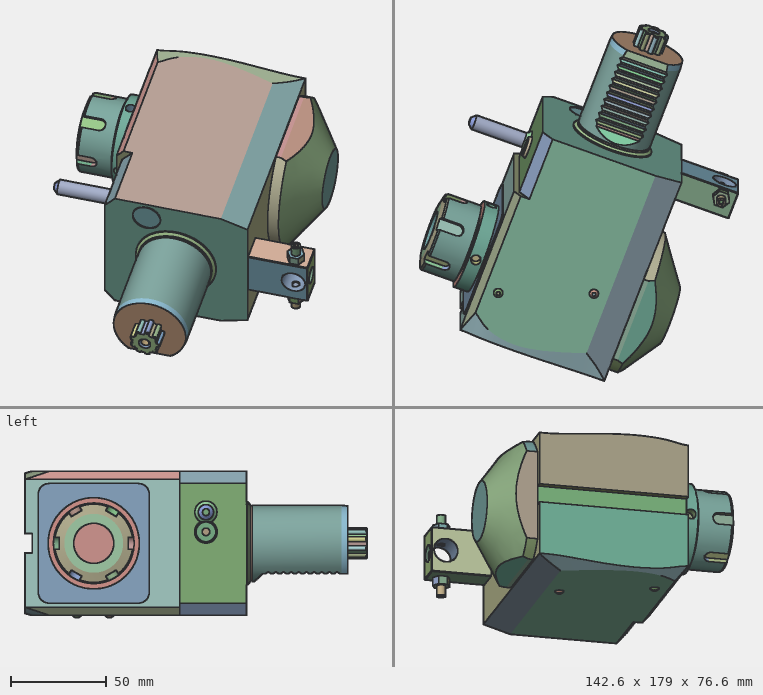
import cadquery as cq


HOUSING_LENGTH = 116.0
HALF_HEIGHT = 37.75
RIGHT_X = 38.7
REAR_LEFT_X = -41.8
FRONT_LEFT_X = -38.8
STEP_Y = 35.0
REAR_CHAMFER = (3.8, 4.3)
FRONT_CHAMFER = (5.6, 6.4)
RIGHT_TAPER = (14.5, 4.2)
CROWN_POINTS = [
    (REAR_LEFT_X, 101.6),
    (-38.0, 103.1),
    (-32.3, 107.4),
    (-25.2, 110.7),
    (-13.0, 112.5),
    (2.3, 110.4),
    (12.5, 107.6),
    (24.2, 103.7),
    (RIGHT_X, 101.8),
]
CROWN_FALL = 0.3
KEYWAY_WIDTH = 10.0
KEYWAY_DEPTH = 3.7
PLUG_X = -16.1
PLUG_Z = 27.9
PLUG_RADIUS = 7.5
PLUG_RECESS = 0.6
NIPPLE_POINTS = [(-30.6, 88.8), (16.5, 71.8)]
NIPPLE_BASE_RADIUS = 2.4
NIPPLE_TIP_RADIUS = 1.0
NIPPLE_HEIGHT = 1.1

SHANK_RADIUS = 20.0
SHANK_END_Y = -53.0
SHANK_TAPER_Y = -49.6
SHANK_END_RADIUS = 19.6
COLLAR_RADIUS = 21.75
COLLAR_STRAIGHT = 0.7
COLLAR_LENGTH = 1.9
UNDERCUT_END_Y = -3.0
UNDERCUT_RADIUS = 19.7
RACK_TIP_Z = -16.0
RACK_DEPTH = 1.0
RACK_PITCH = 4.0
RACK_GROOVES = 10
RACK_FIRST_Y = -11.3
RACK_GROOVE_HALF_WIDTH = 1.5
RACK_RAMP_START_Y = -4.0
RACK_RAMP_END_Y = -8.4
SPLINE_END_Y = -63.0
SPLINE_TEETH = 9
SPLINE_TIP_RADIUS = 8.2
SPLINE_ROOT_RADIUS = 6.6
SPLINE_TOOTH_WIDTH = 2.6
SPLINE_PHASE = 8.0
SPLINE_CHAMFER = 0.7
SPLINE_BORE_RADIUS = 2.2
SPLINE_BORE_DEPTH = 12.0
SPLINE_COUNTERSINK_RADIUS = 3.2

SPINDLE_Y = 80.0
PAD_LENGTH_Y = 58.0
PAD_HEIGHT_Z = 62.6
PAD_CORNER_RADIUS = 5.5
PAD_FACE_X = -42.5
FLANGE_RADIUS = 23.9
FLANGE_FACE_X = -50.2
NECK_RADIUS = 16.5
NUT_RADIUS = 21.1
NUT_BACK_X = -51.3
NUT_CHAMFER_X = -69.2
NUT_RIM_X = -70.2
NUT_RIM_RADIUS = 20.5
NUT_FACE_X = -71.6
NUT_FACE_RADIUS = 15.4
COLLET_RADIUS = 10.5
COLLET_RECESS = 2.5
FLANGE_HOLE_RADIUS = 2.6
FLANGE_HOLE_X = -46.4
FLANGE_HOLE_DEPTH = 6.0
FLANGE_HOLES = 4
WRENCH_SLOTS = 6
WRENCH_SLOT_WIDTH = 6.4
WRENCH_SLOT_END_X = -57.2
SIDE_SLOT_END_X = -59.1
WRENCH_SLOT_FLOOR = 18.0

PIN_Y = 21.3
PIN_Z = 16.3
PIN_RADIUS = 4.0
PIN_TIP_X = -71.6
PIN_TIP_RADIUS = 1.8
PIN_CONE_LENGTH = 2.4
PIN_FLARE_RADIUS = 5.8
PIN_FLARE_LENGTH = 2.6
BOSS_Z = 6.0
BOSS_RADIUS = 5.9
BOSS_HEIGHT = 1.7
BOSS_TOP_RADIUS = 5.2
BOSS_HOLE_RADIUS = 2.0
BOSS_HOLE_DEPTH = 4.0

CAP_RADIUS = 40.0
CAP_CONE_X = 44.6
CAP_END_X = 61.8
CAP_END_RADIUS = 16.0
CAP_REAR_Y = 111.9
CAP_FLAT_Z = 32.6
CAP_FLAT_END_X = 41.4
CAP_SLOPE = 0.25

ARM_END_X = 71.0
ARM_FRONT_Y = 1.2
ARM_REAR_Y = 16.2
ARM_HALF_HEIGHT = 12.3
ARM_CHAMFER = 0.4
ARM_HOLE_X = 63.2
ARM_HOLE_RADIUS = 6.4
CROSS_HOLE_RADIUS = 4.5
STUD_HOLE_RADIUS = 2.0
STUD_HOLE_DEPTH = 0.7
STUD_Y = 6.3
STUD_RADIUS = 2.4
STUD_TOP_Z = 22.2
STUD_SOCKET_RADIUS = 1.4
STUD_SOCKET_DEPTH = 2.0
STUD_NUT_TOP_Z = 16.7
STUD_NUT_ACROSS_CORNERS = 9.2

OVERLAP = 2.0


def box(x0, x1, y0, y1, z0, z1):
    block = cq.Workplane("XY").box(x1 - x0, y1 - y0, z1 - z0, centered=False)
    return block.translate((x0, y0, z0))


def cylinder(origin, direction, radius, length):
    return cq.Workplane(cq.Solid.makeCylinder(radius, length, cq.Vector(*origin), cq.Vector(*direction)))


def cone(origin, direction, base_radius, tip_radius, length):
    solid = cq.Solid.makeCone(base_radius, tip_radius, length, cq.Vector(*origin), cq.Vector(*direction))
    return cq.Workplane(solid)


def turned_about_x(profile, y, z):
    """Revolve (x, radius) points about the X-parallel axis through (y, z)."""
    solid = cq.Workplane("XY").polyline(profile).close().revolve(360, (0, 0, 0), (1, 0, 0))
    return solid.translate((0, y, z))


def mirrored_in_z(piece):
    return piece.mirror("XY")


def housing_section(left_x, chamfer, y0, y1):
    """Prism along Y with chamfered left edges and tapered right edges."""
    upper = [
        (left_x, HALF_HEIGHT - chamfer[1]),
        (left_x + chamfer[0], HALF_HEIGHT),
        (RIGHT_X - RIGHT_TAPER[0], HALF_HEIGHT),
        (RIGHT_X, HALF_HEIGHT - RIGHT_TAPER[1]),
    ]
    lower = [(x, -z) for x, z in reversed(upper)]
    section = cq.Workplane("XZ").polyline(upper + lower).close()
    return section.extrude(y0 - y1).translate((0, y0, 0))


def crown_outline(plane, y_shift):
    """Region behind the curved rear edge of the top, moved along Y."""
    back_y = HOUSING_LENGTH + OVERLAP + y_shift
    edge = [(x, y + y_shift) for x, y in CROWN_POINTS]
    return (
        plane.moveTo(*edge[0])
        .spline(edge[1:], includeCurrent=True)
        .lineTo(RIGHT_X, back_y)
        .lineTo(REAR_LEFT_X, back_y)
        .close()
    )


def crown_cutter():
    """Waste above the surface that falls backwards from the curved rear edge of the top."""
    depth = RIGHT_TAPER[1] + OVERLAP
    upper = crown_outline(cq.Workplane("XY").workplane(offset=HALF_HEIGHT), 0)
    lower = crown_outline(upper.workplane(offset=-depth), depth / CROWN_FALL)
    return lower.loft(ruled=True)


def make_housing():
    body = housing_section(FRONT_LEFT_X, FRONT_CHAMFER, 0, STEP_Y)
    body = body.union(housing_section(REAR_LEFT_X, REAR_CHAMFER, STEP_Y, HOUSING_LENGTH))
    crown = crown_cutter()
    body = body.cut(crown).cut(mirrored_in_z(crown))
    keyway = box(
        REAR_LEFT_X - OVERLAP, RIGHT_X + OVERLAP,
        HOUSING_LENGTH - KEYWAY_DEPTH, HOUSING_LENGTH + OVERLAP,
        -KEYWAY_WIDTH / 2, KEYWAY_WIDTH / 2,
    )
    body = body.cut(keyway)
    body = body.cut(cylinder((PLUG_X, 0, PLUG_Z), (0, 1, 0), PLUG_RADIUS, PLUG_RECESS))
    for x, y in NIPPLE_POINTS:
        nipple = cone((x, y, -HALF_HEIGHT), (0, 0, -1), NIPPLE_BASE_RADIUS, NIPPLE_TIP_RADIUS, NIPPLE_HEIGHT)
        body = body.union(nipple)
    return body


def make_shank():
    profile = [
        (0, OVERLAP),
        (COLLAR_RADIUS, OVERLAP),
        (COLLAR_RADIUS, -COLLAR_STRAIGHT),
        (SHANK_RADIUS, -COLLAR_LENGTH),
        (UNDERCUT_RADIUS, -COLLAR_LENGTH),
        (UNDERCUT_RADIUS, UNDERCUT_END_Y),
        (SHANK_RADIUS, UNDERCUT_END_Y),
        (SHANK_RADIUS, SHANK_TAPER_Y),
        (SHANK_END_RADIUS, SHANK_END_Y),
        (0, SHANK_END_Y),
    ]
    shank = cq.Workplane("XY").polyline(profile).close().revolve(360, (0, 0, 0), (0, 1, 0))
    return shank.cut(rack_cutter())


def rack_cutter():
    """Waste below the toothed flat on the underside of the shank."""
    below_z = -COLLAR_RADIUS
    valley_z = RACK_TIP_Z + RACK_DEPTH
    outline = [
        (RACK_RAMP_START_Y, below_z),
        (RACK_RAMP_START_Y, -SHANK_RADIUS),
        (RACK_RAMP_END_Y, RACK_TIP_Z),
    ]
    for i in range(RACK_GROOVES):
        y = RACK_FIRST_Y - i * RACK_PITCH
        outline.append((y + RACK_GROOVE_HALF_WIDTH, RACK_TIP_Z))
        outline.append((y, valley_z))
        outline.append((y - RACK_GROOVE_HALF_WIDTH, RACK_TIP_Z))
    outline.append((SHANK_END_Y - OVERLAP, RACK_TIP_Z))
    outline.append((SHANK_END_Y - OVERLAP, below_z))
    return cq.Workplane("YZ").polyline(outline).close().extrude(SHANK_RADIUS, both=True)


def make_spline():
    start_y = SHANK_END_Y + OVERLAP
    length = start_y - SPLINE_END_Y
    towards_tip = (0, -1, 0)
    spline = cylinder((0, start_y, 0), towards_tip, SPLINE_ROOT_RADIUS, length)
    half_width = SPLINE_TOOTH_WIDTH / 2
    crest_centre = SPLINE_TIP_RADIUS - half_width
    for i in range(SPLINE_TEETH):
        angle = SPLINE_PHASE + i * 360 / SPLINE_TEETH
        tooth = box(-half_width, half_width, SPLINE_END_Y, start_y, 0, crest_centre)
        tooth = tooth.union(cylinder((0, start_y, crest_centre), towards_tip, half_width, length))
        spline = spline.union(tooth.rotate((0, 0, 0), (0, 1, 0), angle))
    envelope = cylinder((0, start_y, 0), towards_tip, SPLINE_TIP_RADIUS, length)
    envelope = envelope.faces("<Y").chamfer(SPLINE_CHAMFER)
    return spline.intersect(envelope)


def spline_bore():
    countersink_depth = SPLINE_COUNTERSINK_RADIUS - SPLINE_BORE_RADIUS
    mouth = (0, SPLINE_END_Y, 0)
    bore = cylinder(mouth, (0, 1, 0), SPLINE_BORE_RADIUS, SPLINE_BORE_DEPTH)
    sink = cone(mouth, (0, 1, 0), SPLINE_COUNTERSINK_RADIUS, SPLINE_BORE_RADIUS, countersink_depth)
    return bore.union(sink)


def make_pad():
    pad = (
        cq.Workplane("YZ")
        .rect(PAD_LENGTH_Y, PAD_HEIGHT_Z)
        .extrude(REAR_LEFT_X - PAD_FACE_X + OVERLAP)
        .edges("|X")
        .fillet(PAD_CORNER_RADIUS)
    )
    return pad.translate((PAD_FACE_X, SPINDLE_Y, 0))


def wrench_slot(end_x):
    """Round-ended slot in the rim of the nut, on its +Y side."""
    half_width = WRENCH_SLOT_WIDTH / 2
    arc_centre_x = end_x - half_width
    depth = NUT_RADIUS - WRENCH_SLOT_FLOOR + OVERLAP
    slot = box(
        NUT_FACE_X - OVERLAP, arc_centre_x,
        WRENCH_SLOT_FLOOR, WRENCH_SLOT_FLOOR + depth,
        -half_width, half_width,
    )
    return slot.union(cylinder((arc_centre_x, WRENCH_SLOT_FLOOR, 0), (0, 1, 0), half_width, depth))


def make_spindle():
    """Flange, neck and collet nut as one turned piece with its radial holes and wrench slots."""
    collet_face_x = NUT_FACE_X + COLLET_RECESS
    profile = [
        (REAR_LEFT_X + OVERLAP, 0),
        (REAR_LEFT_X + OVERLAP, FLANGE_RADIUS),
        (FLANGE_FACE_X, FLANGE_RADIUS),
        (FLANGE_FACE_X, NECK_RADIUS),
        (NUT_BACK_X, NECK_RADIUS),
        (NUT_BACK_X, NUT_RADIUS),
        (NUT_CHAMFER_X, NUT_RADIUS),
        (NUT_RIM_X, NUT_RIM_RADIUS),
        (NUT_FACE_X, NUT_FACE_RADIUS),
        (NUT_FACE_X, COLLET_RADIUS),
        (collet_face_x, COLLET_RADIUS),
        (collet_face_x, 0),
    ]
    spindle = turned_about_x(profile, 0, 0)
    hole_floor = FLANGE_RADIUS - FLANGE_HOLE_DEPTH
    hole_length = FLANGE_HOLE_DEPTH + OVERLAP
    hole = cylinder((FLANGE_HOLE_X, hole_floor, 0), (0, 1, 0), FLANGE_HOLE_RADIUS, hole_length)
    for i in range(FLANGE_HOLES):
        spindle = spindle.cut(hole.rotate((0, 0, 0), (1, 0, 0), i * 360 / FLANGE_HOLES))
    for i in range(WRENCH_SLOTS):
        on_y_axis = i % (WRENCH_SLOTS // 2) == 0
        slot = wrench_slot(SIDE_SLOT_END_X if on_y_axis else WRENCH_SLOT_END_X)
        spindle = spindle.cut(slot.rotate((0, 0, 0), (1, 0, 0), i * 360 / WRENCH_SLOTS))
    return spindle.translate((0, SPINDLE_Y, 0))


def make_pin():
    """Pointed stop pin with a flared foot."""
    flare_x = FRONT_LEFT_X - PIN_FLARE_LENGTH
    profile = [
        (FRONT_LEFT_X + OVERLAP, 0),
        (FRONT_LEFT_X + OVERLAP, PIN_FLARE_RADIUS),
        (FRONT_LEFT_X, PIN_FLARE_RADIUS),
        (flare_x, PIN_RADIUS),
        (PIN_TIP_X + PIN_CONE_LENGTH, PIN_RADIUS),
        (PIN_TIP_X, PIN_TIP_RADIUS),
        (PIN_TIP_X, 0),
    ]
    return turned_about_x(profile, PIN_Y, PIN_Z)


def make_boss():
    """Low tapered boss below the pin."""
    boss = cone((FRONT_LEFT_X, PIN_Y, BOSS_Z), (-1, 0, 0), BOSS_RADIUS, BOSS_TOP_RADIUS, BOSS_HEIGHT)
    foot = cylinder((FRONT_LEFT_X, PIN_Y, BOSS_Z), (1, 0, 0), BOSS_RADIUS, OVERLAP)
    return boss.union(foot)


def boss_hole():
    top_x = FRONT_LEFT_X - BOSS_HEIGHT
    return cylinder((top_x, PIN_Y, BOSS_Z), (1, 0, 0), BOSS_HOLE_RADIUS, BOSS_HOLE_DEPTH)


def make_cap():
    """Conical end cap trimmed by the rear plane and by sloping top and bottom flats."""
    start_x = RIGHT_X - OVERLAP
    profile = [
        (start_x, 0),
        (start_x, CAP_RADIUS),
        (CAP_CONE_X, CAP_RADIUS),
        (CAP_END_X, CAP_END_RADIUS),
        (CAP_END_X, 0),
    ]
    end_z = CAP_FLAT_Z - CAP_SLOPE * (CAP_END_X - CAP_FLAT_END_X)
    upper = [(start_x, CAP_FLAT_Z), (CAP_FLAT_END_X, CAP_FLAT_Z), (CAP_END_X, end_z)]
    lower = [(x, -z) for x, z in reversed(upper)]
    trim = cq.Workplane("XZ").polyline(upper + lower).close().extrude(-CAP_REAR_Y)
    return turned_about_x(profile, SPINDLE_Y, 0).intersect(trim)


def make_arm():
    arm = box(RIGHT_X, ARM_END_X, ARM_FRONT_Y, ARM_REAR_Y, -ARM_HALF_HEIGHT, ARM_HALF_HEIGHT)
    arm = arm.edges("|X or >X").chamfer(ARM_CHAMFER)
    arm = arm.union(box(
        RIGHT_X - OVERLAP, RIGHT_X + OVERLAP,
        ARM_FRONT_Y + ARM_CHAMFER, ARM_REAR_Y - ARM_CHAMFER,
        -ARM_HALF_HEIGHT + ARM_CHAMFER, ARM_HALF_HEIGHT - ARM_CHAMFER,
    ))
    fastener = clamp_stud()
    arm = arm.union(fastener).union(mirrored_in_z(fastener))
    hole = cylinder((ARM_HOLE_X, 0, 0), (0, 1, 0), ARM_HOLE_RADIUS, ARM_REAR_Y + OVERLAP)
    middle_y = (ARM_FRONT_Y + ARM_REAR_Y) / 2
    cross_hole = cylinder((ARM_HOLE_X, middle_y, 0), (1, 0, 0), CROSS_HOLE_RADIUS, ARM_END_X - ARM_HOLE_X)
    stud_hole_reach = ARM_HOLE_RADIUS + STUD_HOLE_DEPTH
    stud_holes = cylinder(
        (ARM_HOLE_X, STUD_Y, -stud_hole_reach), (0, 0, 1), STUD_HOLE_RADIUS, 2 * stud_hole_reach
    )
    return arm.cut(hole).cut(cross_hole).cut(stud_holes)


def clamp_stud():
    """Socket-ended stud with its hexagon nut, standing on the top of the arm."""
    foot_z = ARM_HALF_HEIGHT - OVERLAP
    stud = cylinder((ARM_HOLE_X, STUD_Y, foot_z), (0, 0, 1), STUD_RADIUS, STUD_TOP_Z - foot_z)
    nut = cq.Workplane("XY").polygon(6, STUD_NUT_ACROSS_CORNERS).extrude(STUD_NUT_TOP_Z - foot_z)
    stud = stud.union(nut.translate((ARM_HOLE_X, STUD_Y, foot_z)))
    socket = cq.Workplane("XY").polygon(6, 2 * STUD_SOCKET_RADIUS).extrude(STUD_SOCKET_DEPTH)
    return stud.cut(socket.translate((ARM_HOLE_X, STUD_Y, STUD_TOP_Z - STUD_SOCKET_DEPTH)))


result = make_housing()
for piece in (
    make_shank(),
    make_spline(),
    make_pad(),
    make_spindle(),
    make_pin(),
    make_boss(),
    make_cap(),
    make_arm(),
):
    result = result.union(piece)
result = result.cut(spline_bore()).cut(boss_hole())